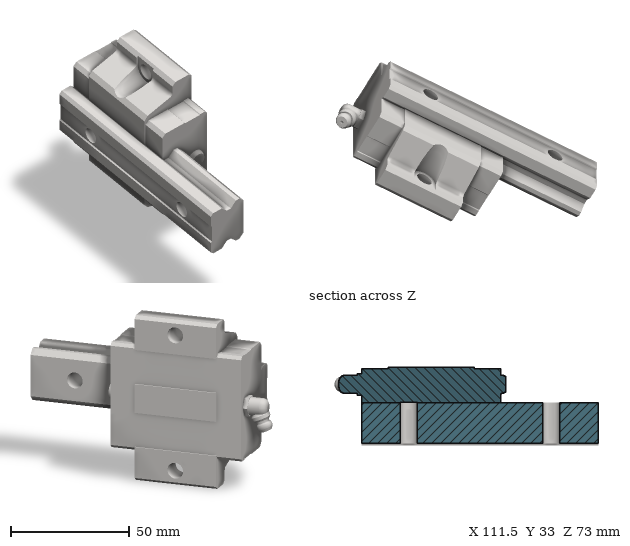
import cadquery as cq
import math


rail_length = 100.0
rail_width = 23.0
rail_height = 18.1
rail_foot_chamfer = 1.3
rail_foot_side_end = 6.0
rail_groove_depth = 2.9
waist_start = 8.8
waist_end = 11.0
rail_head_side_start = 13.8
rail_head_chamfer = 2.3
relief_half_width = 4.3
relief_depth = 0.7
relief_wall_slope = 0.3
bolt_hole_diameter = 7.0
rail_hole_positions = (20.0, 80.0)

end_cap_length = 11.0
block_length = 36.7
carriage_length = block_length + 2 * end_cap_length
block_center_x = carriage_length / 2
block_top = 33.0
block_bottom = 7.0
block_width = 73.0
block_half_width = block_width / 2
flange_underside = 22.4
flange_top_chamfer_y = 1.7
flange_top_chamfer_z = 1.3
flange_lower_chamfer = 1.7
flank_top_half_width = 29.8
flank_foot_y = 8.8
flank_foot_half_width = 26.1
block_foot_half_width = 24.0
flank_fillet = 1.8
top_groove_inner = 6.4
top_groove_outer = 21.5

flange_hole_offset = 30.0
spot_face_width = 10.5
spot_face_y = 23.1

cap_bottom = 7.7
cap_top = 32.3
cap_half_width = 23.3
cap_top_chamfer = 1.3
cap_foot_chamfer = 1.7
cap_recess_depth = 0.3
cap_recess_start = 19.8
cap_recess_end = 28.5

nipple_y = 25.7
hex_across_flats = 8.0
hex_length = 2.0
stem_diameter = 7.8
stem_end = 9.7
stem_fillet = 2.7
head_tilt = 23
head_pivot = 4.8

head_root_radius = 2.1
collar_cone_start = 1.8
collar_start = 3.7
collar_end = 5.1
collar_diameter = 8.0
collar_lip_radius = 3.2
neck_start = 6.0
neck_end = 7.1
neck_diameter = 5.5
bulb_start = 7.7
bulb_end = 9.6
bulb_rim_diameter = 6.4
bulb_diameter = 6.8
head_length = 10.9
tip_diameter = 4.9
grease_hole_diameter = 1.3
grease_hole_depth = 1.3

plug_diameter = 8.0
plug_length = 2.1
plug_end_diameter = 6.6


def mirrored_outline(half_points):
    """Close a (Y, Z) half outline with its mirror image across Z = 0."""
    mirrored = [(y, -z) for y, z in reversed(half_points)]
    return cq.Workplane("YZ").polyline(half_points + mirrored).close()


def rail_bar(length):
    """Solid bar with the rail's section but without the relief in its mounting face."""
    side = rail_width / 2
    waist = side - rail_groove_depth
    return mirrored_outline([
        (0, side - rail_foot_chamfer),
        (rail_foot_chamfer, side),
        (rail_foot_side_end, side),
        (waist_start, waist),
        (waist_end, waist),
        (rail_head_side_start, side),
        (rail_height - rail_head_chamfer, side),
        (rail_height, side - rail_head_chamfer),
    ]).extrude(length)


def bolt_hole(x, z):
    """Cutter along Y from the rail's mounting face to the top of the block."""
    return (
        cq.Workplane("XZ", origin=(x, 0, z))
        .circle(bolt_hole_diameter / 2)
        .extrude(-block_top)
    )


def make_rail():
    relief = mirrored_outline([
        (0, relief_half_width + relief_wall_slope),
        (relief_depth, relief_half_width),
    ]).extrude(rail_length)
    rail = rail_bar(rail_length).cut(relief)
    for x in rail_hole_positions:
        rail = rail.cut(bolt_hole(x, 0))
    return rail


def spot_face(side):
    """Round-nosed cutter below the flange, open towards the flange edge."""
    center_z = side * flange_hole_offset
    nose = (
        cq.Workplane("XZ", origin=(block_center_x, 0, center_z))
        .circle(spot_face_width / 2)
        .extrude(-spot_face_y)
    )
    channel_end_z = side * block_half_width
    channel = cq.Workplane("XY").box(
        spot_face_width, spot_face_y, block_half_width - flange_hole_offset,
        centered=(True, False, True),
    ).translate((block_center_x, 0, (center_z + channel_end_z) / 2))
    return nose.union(channel)


def make_block():
    block = mirrored_outline([
        (block_bottom, block_foot_half_width),
        (flank_foot_y, flank_foot_half_width),
        (flange_underside, flank_top_half_width),
        (flange_underside, block_half_width - flange_lower_chamfer),
        (flange_underside + flange_lower_chamfer, block_half_width),
        (block_top - flange_top_chamfer_y, block_half_width),
        (block_top, block_half_width - flange_top_chamfer_z),
    ]).extrude(block_length)
    margin = 0.1
    flank_corners = cq.selectors.BoxSelector(
        (0, flange_underside - margin, -flank_top_half_width - margin),
        (block_length, flange_underside + margin, flank_top_half_width + margin),
    )
    block = block.edges("|X").edges(flank_corners).fillet(flank_fillet)
    block = block.translate((end_cap_length, 0, 0))

    groove_width = top_groove_outer - top_groove_inner
    groove_center = (top_groove_outer + top_groove_inner) / 2
    for side in (-1, 1):
        groove = cq.Workplane("XY").box(
            block_length, block_top - cap_top, groove_width, centered=(True, False, True)
        ).translate((block_center_x, cap_top, side * groove_center))
        block = block.cut(groove)
        block = block.cut(spot_face(side))
        block = block.cut(bolt_hole(block_center_x, side * flange_hole_offset))
    return block


def make_end_cap(start_x):
    recessed = cap_half_width - cap_recess_depth
    cap = mirrored_outline([
        (cap_bottom, cap_half_width - cap_foot_chamfer),
        (cap_bottom + cap_foot_chamfer, cap_half_width),
        (cap_recess_start, cap_half_width),
        (cap_recess_start + cap_recess_depth, recessed),
        (cap_recess_end - cap_recess_depth, recessed),
        (cap_recess_end, cap_half_width),
        (cap_top - cap_top_chamfer, cap_half_width),
        (cap_top, cap_half_width - cap_top_chamfer),
    ]).extrude(end_cap_length)
    return cap.translate((start_x, 0, 0))


def make_nipple_head():
    """Turned head with collar, neck and bulb, built along +Z and then tilted into place."""
    profile = (
        cq.Workplane("XZ")
        .polyline([
            (0, 0),
            (head_root_radius, 0),
            (head_root_radius, collar_cone_start),
            (collar_diameter / 2, collar_start),
            (collar_diameter / 2, collar_end),
            (collar_lip_radius, neck_start),
            (neck_diameter / 2, neck_start),
            (neck_diameter / 2, neck_end),
            (bulb_rim_diameter / 2, bulb_start),
        ])
        .threePointArc(
            (bulb_diameter / 2, (bulb_start + bulb_end) / 2),
            (bulb_rim_diameter / 2, bulb_end),
        )
        .lineTo(tip_diameter / 2, head_length)
        .lineTo(0, head_length)
        .close()
    )
    head = profile.revolve(360, (0, 0), (0, 1))
    head = head.faces(">Z").workplane().hole(grease_hole_diameter, grease_hole_depth)
    return (
        head.rotate((0, 0, 0), (0, 1, 0), 180 + head_tilt)
        .translate((-head_pivot, nipple_y, 0))
    )


def make_nipple():
    facing_out = cq.Plane(origin=(0, nipple_y, 0), xDir=(0, 1, 0), normal=(-1, 0, 0))
    hexagon = (
        cq.Workplane(facing_out)
        .polygon(6, hex_across_flats / math.cos(math.pi / 6))
        .extrude(hex_length)
    )
    stem = (
        cq.Workplane(facing_out)
        .circle(stem_diameter / 2)
        .extrude(stem_end)
        .faces("<X")
        .edges()
        .fillet(stem_fillet)
    )
    return hexagon.union(stem).union(make_nipple_head())


def make_plug():
    """Domed plug: its rounded side starts along X at the cap and curves in to the flat end."""
    base_radius = plug_diameter / 2
    end_radius = plug_end_diameter / 2
    inset = base_radius - end_radius
    side_arc_radius = (plug_length ** 2 + inset ** 2) / (2 * inset)
    return (
        cq.Workplane("XY", origin=(carriage_length, nipple_y, 0))
        .lineTo(0, base_radius)
        .radiusArc((plug_length, end_radius), side_arc_radius)
        .lineTo(plug_length, 0)
        .close()
        .revolve(360, (0, 0), (1, 0))
    )


def make_carriage():
    carriage = make_block()
    for start_x in (0, end_cap_length + block_length):
        carriage = carriage.union(make_end_cap(start_x))
    carriage = carriage.cut(rail_bar(carriage_length))
    return carriage.union(make_nipple()).union(make_plug())


rail = make_rail()
carriage = make_carriage()
result = cq.Compound.makeCompound([*rail.solids().vals(), *carriage.solids().vals()])